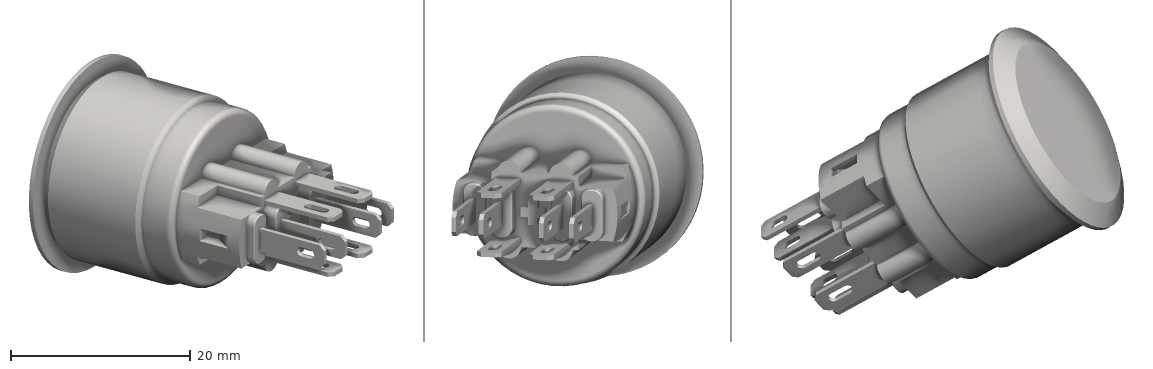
import cadquery as cq


TOTAL_LENGTH = 37.8

FACE_DIAMETER = 19.95
FLANGE_DIAMETER = 25.0
NECK_DIAMETER = 20.6
BARREL_DIAMETER = 21.8
COLLAR_DIAMETER = 20.7
FLANGE_RIM_FRONT = 1.3
FLANGE_BACK = 1.85
BARREL_FRONT = 2.8
BARREL_BACK = 14.48
COLLAR_FRONT = 14.95
COLLAR_BACK = 19.0
COLLAR_ROUNDING = 0.7

BLOCK_BACK = 27.48
BLOCK_DIAMETER = 19.05
BLOCK_HALF_HEIGHT = 4.2
PILLAR_RADIUS = 1.35
PILLAR_Y = 3.0
POCKET_FRONT = 21.55
POCKET_INNER_Y = 5.03
POCKET_FLOOR_Z = 3.0

WINDOW_FRONT = 22.15
WINDOW_BACK = 25.8
WINDOW_HEIGHT = 1.55
WINDOW_DEEP = 1.6
WINDOW_SHALLOW = 0.6
RAMP_FRONT = 23.8
RAMP_BACK = 25.25

BOSS_WIDTH = 2.45
BOSS_HEIGHT = 2 * POCKET_FLOOR_Z
BOSS_CORNER_RADIUS = 1.1
BOSS_EDGE_CHAMFER = 0.1
OUTER_BOSS_LENGTH = 1.05
INNER_BOSS_LENGTH = 1.7
CROSS_SPAN = 2.75
CROSS_ARM_WIDTH = 1.05

BLADE_THICKNESS = 0.53
BLADE_WIDTH = 2.8
BLADE_CORNER = 0.55
OUTER_BLADE_Y = 6.8
INNER_BLADE_Y = 3.48
FLAT_BLADE_Y = 3.02
FLAT_BLADE_Z = 3.35
INNER_BLADE_TIP = TOTAL_LENGTH
OUTER_BLADE_TIP = 37.2
FLAT_BLADE_TIP = 36.48
EYE_LENGTH = 2.3
EYE_WIDTH = 1.1
EYE_TO_TIP = 1.32
FLAT_EYE_LENGTH = 3.15
FLAT_EYE_WIDTH = 1.2
FLAT_EYE_TO_TIP = 1.4

SIDES = (-1, 1)


def make_housing():
    """Flange, neck, barrel and rounded rear collar turned about the X axis."""
    housing = (
        cq.Workplane("XY")
        .moveTo(0, 0)
        .lineTo(0, FACE_DIAMETER / 2)
        .lineTo(FLANGE_RIM_FRONT, FLANGE_DIAMETER / 2)
        .lineTo(FLANGE_BACK, FLANGE_DIAMETER / 2)
        .lineTo(FLANGE_BACK, NECK_DIAMETER / 2)
        .lineTo(BARREL_FRONT, NECK_DIAMETER / 2)
        .lineTo(BARREL_FRONT, BARREL_DIAMETER / 2)
        .lineTo(BARREL_BACK, BARREL_DIAMETER / 2)
        .lineTo(COLLAR_FRONT, COLLAR_DIAMETER / 2)
        .lineTo(COLLAR_BACK, COLLAR_DIAMETER / 2)
        .lineTo(COLLAR_BACK, 0)
        .close()
        .revolve(360, (0, 0, 0), (1, 0, 0))
    )
    return housing.faces(">X").edges().fillet(COLLAR_ROUNDING)


def make_pocket(y_side, z_side):
    """Cutter for the step at one corner of the block, open to the back and the outside."""
    length = BLOCK_BACK - POCKET_FRONT
    width = BLOCK_DIAMETER / 2 - POCKET_INNER_Y
    height = BLOCK_HALF_HEIGHT - POCKET_FLOOR_Z
    return cq.Workplane("XY").box(length, width, height).translate((
        POCKET_FRONT + length / 2,
        y_side * (POCKET_INNER_Y + width / 2),
        z_side * (POCKET_FLOOR_Z + height / 2),
    ))


def make_window(y_side):
    """Cutter for one latch window: a deep floor, a ramp and a shallow floor."""
    outer_y = y_side * BLOCK_DIAMETER / 2
    deep_y = y_side * (BLOCK_DIAMETER / 2 - WINDOW_DEEP)
    shallow_y = y_side * (BLOCK_DIAMETER / 2 - WINDOW_SHALLOW)
    return (
        cq.Workplane("XY")
        .moveTo(WINDOW_FRONT, outer_y)
        .lineTo(WINDOW_FRONT, deep_y)
        .lineTo(RAMP_FRONT, deep_y)
        .lineTo(RAMP_BACK, shallow_y)
        .lineTo(WINDOW_BACK, shallow_y)
        .lineTo(WINDOW_BACK, outer_y)
        .close()
        .extrude(WINDOW_HEIGHT / 2, both=True)
    )


def make_block():
    """Round-sided block with flat top and bottom, pillars, corner pockets and windows."""
    length = BLOCK_BACK - COLLAR_BACK
    plane = cq.Workplane("YZ", origin=(COLLAR_BACK, 0, 0))
    slab = plane.rect(BLOCK_DIAMETER, 2 * BLOCK_HALF_HEIGHT).extrude(length)
    block = plane.circle(BLOCK_DIAMETER / 2).extrude(length).intersect(slab)
    pillar_centres = [(y * PILLAR_Y, z * BLOCK_HALF_HEIGHT) for y in SIDES for z in SIDES]
    block = block.union(plane.pushPoints(pillar_centres).circle(PILLAR_RADIUS).extrude(length))
    for y_side in SIDES:
        block = block.cut(make_window(y_side))
        for z_side in SIDES:
            block = block.cut(make_pocket(y_side, z_side))
    return block


def make_boss(y, length):
    """Rounded upright boss behind the block, around one upright blade."""
    return (
        cq.Workplane("YZ", origin=(BLOCK_BACK, y, 0))
        .rect(BOSS_WIDTH, BOSS_HEIGHT)
        .extrude(length)
        .edges("|X")
        .fillet(BOSS_CORNER_RADIUS)
        .faces(">X")
        .edges()
        .chamfer(BOSS_EDGE_CHAMFER)
    )


def make_cross_boss():
    """Cross-shaped boss on the axis."""
    plane = cq.Workplane("YZ", origin=(BLOCK_BACK, 0, 0))
    upright = plane.rect(CROSS_ARM_WIDTH, CROSS_SPAN).extrude(OUTER_BOSS_LENGTH)
    level = plane.rect(CROSS_SPAN, CROSS_ARM_WIDTH).extrude(OUTER_BOSS_LENGTH)
    return upright.union(level)


def make_blade(plane_name, tip, eye_length, eye_width, eye_to_tip):
    """Blade centred on the X axis, with clipped tip corners and a long eye."""
    length = tip - BLOCK_BACK
    blade = (
        cq.Workplane(plane_name)
        .center(BLOCK_BACK + length / 2, 0)
        .rect(length, BLADE_WIDTH)
        .extrude(BLADE_THICKNESS / 2, both=True)
    )
    thickness_direction = "Z" if plane_name == "XY" else "Y"
    blade = blade.faces(">X").edges("|" + thickness_direction).chamfer(BLADE_CORNER)
    eye = (
        cq.Workplane(plane_name)
        .center(tip - eye_to_tip - eye_length / 2, 0)
        .slot2D(eye_length, eye_width)
        .extrude(BLADE_THICKNESS, both=True)
    )
    return blade.cut(eye)


outer_blade = make_blade("XZ", OUTER_BLADE_TIP, EYE_LENGTH, EYE_WIDTH, EYE_TO_TIP)
inner_blade = make_blade("XZ", INNER_BLADE_TIP, EYE_LENGTH, EYE_WIDTH, EYE_TO_TIP)
flat_blade = make_blade("XY", FLAT_BLADE_TIP, FLAT_EYE_LENGTH, FLAT_EYE_WIDTH, FLAT_EYE_TO_TIP)

result = make_housing().union(make_block()).union(make_cross_boss())
for y_side in SIDES:
    result = result.union(make_boss(y_side * OUTER_BLADE_Y, OUTER_BOSS_LENGTH))
    result = result.union(make_boss(y_side * INNER_BLADE_Y, INNER_BOSS_LENGTH))
    result = result.union(outer_blade.translate((0, y_side * OUTER_BLADE_Y, 0)))
    result = result.union(inner_blade.translate((0, y_side * INNER_BLADE_Y, 0)))
    for z_side in SIDES:
        result = result.union(flat_blade.translate((0, y_side * FLAT_BLADE_Y, z_side * FLAT_BLADE_Z)))